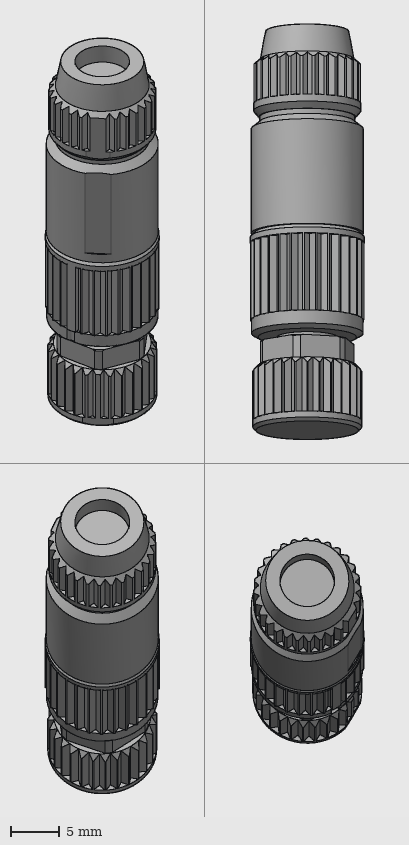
import cadquery as cq
import math

TWIST = 13.3
FRONT = -90 + TWIST

NUT_RADIUS = 5.65
NUT_BOTTOM_CHAMFER = 0.35
NUT_BAND_TOP = 1.0
NUT_KNURL_TOP = 6.8
NUT_KNURL_CHAMFER = 0.6
NUT_FLAT_DISTANCE = 5.42
NUT_GROOVES = 28
NUT_GROOVE_DEPTH = 0.6
HEX_TOP = 9.2
HEX_ACROSS_FLATS = 9.0
HEX_CORNER_RADIUS = 4.98
HEX_CHAMFER = 0.1
HEX_CORNER_TURN = 30

INSERT_RADIUS = 3.1
INSERT_ENGAGEMENT = 3.0

RING_BOTTOM = 9.8
RING_RADIUS = 5.9
RING_BAND_RADIUS = 5.78
RING_BOTTOM_CHAMFER = 0.4
RING_BOTTOM_CHAMFER_WIDTH = 0.7
RING_KNURL_BOTTOM = 11.6
RING_KNURL_TOP = 19.7
RING_TOP = 20.7
RING_TOP_CHAMFER = 0.4
RING_GROOVES = 28
RING_GROOVE_DEPTH = 0.6
RING_RIB_ANGLE = -105.2
RING_RIB_WIDTH = 1.05
NOTCH_ANGLE = -106.5
NOTCH_RADIUS = 0.45

SLEEVE_RADIUS = 5.8
SLEEVE_NECK_RADIUS = 4.92
SLEEVE_SHOULDER = 31.7
SLEEVE_NECK_BOTTOM = 32.42
SLEEVE_FLAT_BOTTOM = 21.75
SLEEVE_FLAT_DISTANCE = 5.64

CAP_BOTTOM = 32.95
CAP_TOP = 41.95
CAP_RADIUS = 5.55
CAP_BOTTOM_RADIUS = 5.0
CAP_BAND_BOTTOM = 33.6
CAP_KNURL_BOTTOM = 34.35
CAP_KNURL_TOP = 39.0
CAP_KNURL_CHAMFER = 0.6
CAP_CONE_RADIUS = 4.85
CAP_CONE_BULGE = 0.04
CAP_TOP_RADIUS = 4.3
CAP_FLAT_DISTANCE = 5.41
CAP_PITCHES = 28
CAP_GROOVE_DEPTH = 0.5
BORE_RADIUS = 2.82
BORE_DEPTH = 2.0

GROOVE_HALF_ANGLE = 45
GROOVE_OVERCUT = 0.3

FLAT_CUTTER_SIZE = 4.0


def turned(points):
    """Solid of revolution about Z from (radius, height) points, closed along the axis."""
    return cq.Workplane("XZ").polyline(points).close().revolve(360, (0, 0, 0), (0, 1, 0))


def knurl_grooves(radius, bottom, top, depth, angles):
    """V-shaped grooves running along Z, one at each of the angles."""
    rim = radius + GROOVE_OVERCUT
    half_width = (depth + GROOVE_OVERCUT) * math.tan(math.radians(GROOVE_HALF_ANGLE))
    groove = (
        cq.Workplane("XY", origin=(0, 0, bottom))
        .polyline([(radius - depth, 0), (rim, half_width), (rim, -half_width)])
        .close()
        .extrude(top - bottom)
        .val()
    )
    copies = [groove.rotate((0, 0, 0), (0, 0, 1), angle) for angle in angles]
    return cq.Workplane(cq.Compound.makeCompound(copies))


def all_around(count, tooth_angle):
    """Angles of evenly spaced grooves, with a tooth between two of them at tooth_angle."""
    pitch = 360 / count
    return [tooth_angle + (i + 0.5) * pitch for i in range(count)]


def around_wide_tooth(pitches, tooth_angle):
    """Angles of evenly spaced grooves, leaving out the one at tooth_angle."""
    pitch = 360 / pitches
    return [tooth_angle + i * pitch for i in range(1, pitches)]


def flat_cutter(distance, bottom, top):
    """Block whose inner face is the marking flat at the given distance from the axis."""
    return (
        cq.Workplane("XY")
        .box(FLAT_CUTTER_SIZE, FLAT_CUTTER_SIZE, top - bottom, centered=(False, True, False))
        .translate((distance, 0, bottom))
        .rotate((0, 0, 0), (0, 0, 1), FRONT)
    )


def insert_rod():
    """Rod that sits in blind holes of the nut and the ring and bridges the gap between them."""
    bottom = HEX_TOP - INSERT_ENGAGEMENT
    top = RING_BOTTOM + INSERT_ENGAGEMENT
    return cq.Workplane("XY", origin=(0, 0, bottom)).circle(INSERT_RADIUS).extrude(top - bottom)


def make_nut():
    """Coupling nut: knurled grip with a flat, topped by a hexagon with rounded corners."""
    knurled = turned([
        (0, 0),
        (NUT_RADIUS - NUT_BOTTOM_CHAMFER, 0),
        (NUT_RADIUS, NUT_BOTTOM_CHAMFER),
        (NUT_RADIUS, NUT_KNURL_TOP - NUT_KNURL_CHAMFER),
        (NUT_RADIUS - NUT_KNURL_CHAMFER, NUT_KNURL_TOP),
        (0, NUT_KNURL_TOP),
    ])
    knurled = knurled.cut(flat_cutter(NUT_FLAT_DISTANCE, 0, NUT_KNURL_TOP))
    groove_places = all_around(NUT_GROOVES, FRONT)
    grooves = knurl_grooves(NUT_RADIUS, NUT_BAND_TOP, NUT_KNURL_TOP, NUT_GROOVE_DEPTH, groove_places)
    knurled = knurled.cut(grooves)
    hex_height = HEX_TOP - NUT_KNURL_TOP
    hexagon = (
        cq.Workplane("XY", origin=(0, 0, NUT_KNURL_TOP))
        .polygon(6, HEX_ACROSS_FLATS, circumscribed=True)
        .extrude(hex_height)
        .rotate((0, 0, 0), (0, 0, 1), FRONT + HEX_CORNER_TURN)
    )
    corner_limit = (
        cq.Workplane("XY", origin=(0, 0, NUT_KNURL_TOP))
        .circle(HEX_CORNER_RADIUS)
        .extrude(hex_height)
        .faces(">Z")
        .chamfer(HEX_CHAMFER)
    )
    return knurled.union(hexagon.intersect(corner_limit)).cut(insert_rod())


def make_ring():
    """Knurled ring with a band and notch below the knurl and a plain collar above it."""
    body = turned([
        (0, RING_BOTTOM),
        (RING_BAND_RADIUS - RING_BOTTOM_CHAMFER_WIDTH, RING_BOTTOM),
        (RING_BAND_RADIUS, RING_BOTTOM + RING_BOTTOM_CHAMFER),
        (RING_BAND_RADIUS, RING_KNURL_BOTTOM),
        (RING_RADIUS, RING_KNURL_BOTTOM),
        (RING_RADIUS, RING_TOP - RING_TOP_CHAMFER),
        (RING_RADIUS - RING_TOP_CHAMFER, RING_TOP),
        (0, RING_TOP),
    ])
    groove_places = all_around(RING_GROOVES, NOTCH_ANGLE)
    grooves = knurl_grooves(RING_RADIUS, RING_KNURL_BOTTOM, RING_KNURL_TOP, RING_GROOVE_DEPTH, groove_places)
    rib = (
        cq.Workplane("XY", origin=(0, 0, RING_KNURL_BOTTOM))
        .rect(2 * RING_RADIUS, RING_RIB_WIDTH)
        .extrude(RING_KNURL_TOP - RING_KNURL_BOTTOM)
        .translate((RING_RADIUS, 0, 0))
        .rotate((0, 0, 0), (0, 0, 1), RING_RIB_ANGLE)
    )
    body = body.cut(grooves.cut(rib))
    notch = (
        cq.Workplane("XY", origin=(0, 0, RING_BOTTOM))
        .center(RING_BAND_RADIUS, 0)
        .circle(NOTCH_RADIUS)
        .extrude(RING_KNURL_BOTTOM - RING_BOTTOM)
        .rotate((0, 0, 0), (0, 0, 1), NOTCH_ANGLE)
    )
    return body.cut(notch).cut(insert_rod())


def make_sleeve():
    """Plain round sleeve with a marking flat and a narrower neck on top."""
    body = turned([
        (0, RING_TOP),
        (SLEEVE_RADIUS, RING_TOP),
        (SLEEVE_RADIUS, SLEEVE_SHOULDER),
        (SLEEVE_NECK_RADIUS, SLEEVE_NECK_BOTTOM),
        (SLEEVE_NECK_RADIUS, CAP_BOTTOM),
        (0, CAP_BOTTOM),
    ])
    return body.cut(flat_cutter(SLEEVE_FLAT_DISTANCE, SLEEVE_FLAT_BOTTOM, CAP_BOTTOM))


def make_cap():
    """Cap nut: knurled grip with a flat, a tapered top and a blind bore."""
    cone_middle = (
        (CAP_CONE_RADIUS + CAP_TOP_RADIUS) / 2 + CAP_CONE_BULGE,
        (CAP_KNURL_TOP + CAP_TOP) / 2,
    )
    body = (
        cq.Workplane("XZ")
        .moveTo(0, CAP_BOTTOM)
        .lineTo(CAP_BOTTOM_RADIUS, CAP_BOTTOM)
        .lineTo(CAP_RADIUS, CAP_BAND_BOTTOM)
        .lineTo(CAP_RADIUS, CAP_KNURL_TOP - CAP_KNURL_CHAMFER)
        .lineTo(CAP_CONE_RADIUS, CAP_KNURL_TOP)
        .threePointArc(cone_middle, (CAP_TOP_RADIUS, CAP_TOP))
        .lineTo(0, CAP_TOP)
        .close()
        .revolve(360, (0, 0, 0), (0, 1, 0))
    )
    body = body.cut(flat_cutter(CAP_FLAT_DISTANCE, CAP_BOTTOM, CAP_KNURL_TOP))
    groove_places = around_wide_tooth(CAP_PITCHES, FRONT)
    grooves = knurl_grooves(CAP_RADIUS, CAP_KNURL_BOTTOM, CAP_KNURL_TOP, CAP_GROOVE_DEPTH, groove_places)
    body = body.cut(grooves)
    bore = cq.Workplane("XY", origin=(0, 0, CAP_TOP - BORE_DEPTH)).circle(BORE_RADIUS).extrude(BORE_DEPTH)
    return body.cut(bore)


nut = make_nut()
insert = insert_rod()
ring = make_ring()
sleeve = make_sleeve()
cap = make_cap()

result = cq.Compound.makeCompound([nut.val(), insert.val(), ring.val(), sleeve.val(), cap.val()])